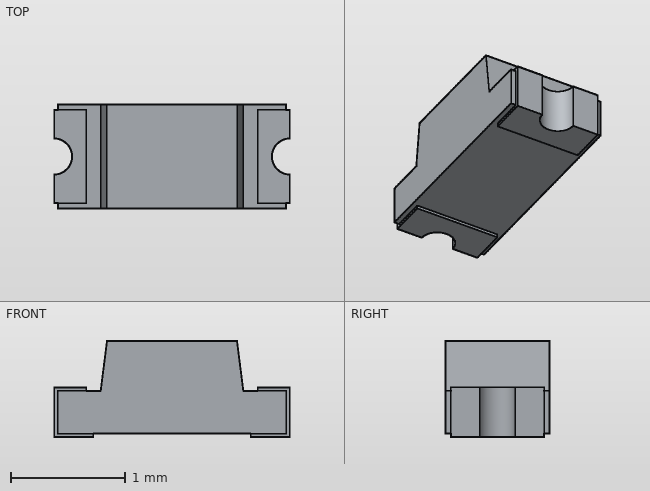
import cadquery as cq

length = 2.06
width = 0.91
height = 0.84

plating = 0.03
terminal_height = 0.435
terminal_width = 0.814
top_pad_length = 0.282
bottom_pad_length = 0.345
notch_radius = 0.157

end_plating = 0.033
board_half_length = length / 2 - end_plating
board_bottom = plating
board_top = terminal_height - plating
lens_base_half_length = 0.625
lens_top_half_length = 0.569


def make_body():
    """Flat board with the tapered lens on top, extruded across the full width."""
    return (
        cq.Workplane("XZ")
        .moveTo(-board_half_length, board_bottom)
        .lineTo(board_half_length, board_bottom)
        .lineTo(board_half_length, board_top)
        .lineTo(lens_base_half_length, board_top)
        .lineTo(lens_top_half_length, height)
        .lineTo(-lens_top_half_length, height)
        .lineTo(-lens_base_half_length, board_top)
        .lineTo(-board_half_length, board_top)
        .close()
        .extrude(width / 2, both=True)
    )


def make_terminal(side):
    """Terminal at the end given by side (-1 or 1); its core overlaps the board."""
    end = side * length / 2
    top_pad_edge = end - side * top_pad_length
    bottom_pad_edge = end - side * bottom_pad_length
    return (
        cq.Workplane("XZ")
        .moveTo(end, 0)
        .lineTo(end, terminal_height)
        .lineTo(top_pad_edge, terminal_height)
        .lineTo(top_pad_edge, board_bottom)
        .lineTo(bottom_pad_edge, board_bottom)
        .lineTo(bottom_pad_edge, 0)
        .close()
        .extrude(terminal_width / 2, both=True)
    )


def make_notch(side):
    """Vertical round cutter centred on the outer face of a terminal."""
    return (
        cq.Workplane("XY")
        .center(side * length / 2, 0)
        .circle(notch_radius)
        .extrude(terminal_height)
    )


result = make_body()
for side in (-1, 1):
    result = result.union(make_terminal(side)).cut(make_notch(side))